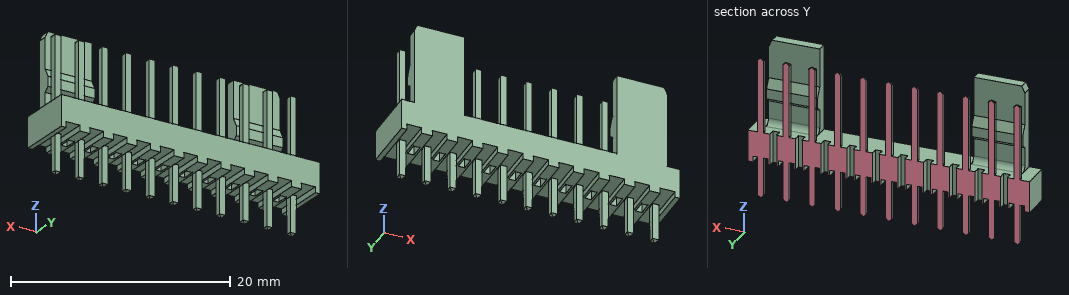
import cadquery as cq


LENGTH = 27.95
DEPTH = 5.8
OVERALL_HEIGHT = 15.25

PIN_COUNT = 11
PITCH = LENGTH / PIN_COUNT
PIN_WIDTH = 0.65
PIN_POINT = 0.28
PIN_BELOW_BASE = 3.52
PIN_ABOVE_BASE = 7.55

BASE_HEIGHT = 3.19
GROOVE_WIDTH = 1.48
GROOVE_DEPTH = 0.6
WINDOW_WIDTH = 0.65
WINDOW_DEPTH = 1.3

WALL_WIDTH = 2 * PITCH
WALL_THICKNESS = 1.03
WALL_HEIGHT = OVERALL_HEIGHT - PIN_BELOW_BASE - BASE_HEIGHT
ROOT_RADIUS = 0.6
CORNER_CUT_WIDTH = 0.3
CORNER_CUT_HEIGHT = 0.67

RIDGE_DEPTH = 0.5
RIDGE_START = 2.35
RIDGE_CREST_START = 2.77
RIDGE_CREST_END = 3.77
RIDGE_END = 4.7

pin_positions = [((i - (PIN_COUNT - 1) / 2) * PITCH, 0) for i in range(PIN_COUNT)]
window_positions = [(x + PITCH / 2, y) for x, y in pin_positions[:-1]]


def make_base():
    block = cq.Workplane("XY").box(LENGTH, DEPTH, BASE_HEIGHT, centered=(True, True, False))
    grooves = (
        cq.Workplane("XY")
        .pushPoints(pin_positions)
        .rect(GROOVE_WIDTH, DEPTH)
        .extrude(GROOVE_DEPTH)
    )
    windows = (
        cq.Workplane("XY")
        .pushPoints(window_positions)
        .rect(WINDOW_WIDTH, WINDOW_DEPTH)
        .extrude(BASE_HEIGHT)
    )
    return block.cut(grooves).cut(windows)


def make_pin():
    """Square pin with a four-sided point at both ends, from two crossed pointed bars."""
    half = PIN_WIDTH / 2
    bottom = -PIN_BELOW_BASE
    top = BASE_HEIGHT + PIN_ABOVE_BASE
    outline = [
        (0, bottom),
        (half, bottom + PIN_POINT),
        (half, top - PIN_POINT),
        (0, top),
        (-half, top - PIN_POINT),
        (-half, bottom + PIN_POINT),
    ]
    along_y = cq.Workplane("XZ").polyline(outline).close().extrude(half, both=True)
    along_x = cq.Workplane("YZ").polyline(outline).close().extrude(half, both=True)
    return along_y.intersect(along_x)


def make_left_wall():
    """Wall at the -X end: a YZ profile extruded along X, its outer top corner cut off."""
    left = pin_positions[0][0]
    outer = -DEPTH / 2
    inner = outer + WALL_THICKNESS
    crest = inner + RIDGE_DEPTH
    bottom = BASE_HEIGHT
    top = bottom + WALL_HEIGHT
    wall = (
        cq.Workplane("YZ", origin=(left, 0, 0))
        .moveTo(outer, bottom)
        .lineTo(inner + ROOT_RADIUS, bottom)
        .radiusArc((inner, bottom + ROOT_RADIUS), ROOT_RADIUS)
        .lineTo(inner, bottom + RIDGE_START)
        .lineTo(crest, bottom + RIDGE_CREST_START)
        .lineTo(crest, bottom + RIDGE_CREST_END)
        .lineTo(inner, bottom + RIDGE_END)
        .lineTo(inner, top)
        .lineTo(outer, top)
        .close()
        .extrude(WALL_WIDTH)
    )
    corner = (
        cq.Workplane("XZ")
        .polyline([(left, top), (left + CORNER_CUT_WIDTH, top), (left, top - CORNER_CUT_HEIGHT)])
        .close()
        .extrude(DEPTH, both=True)
    )
    return wall.cut(corner)


left_wall = make_left_wall()
result = make_base().union(left_wall).union(left_wall.mirror("YZ"))

pin = make_pin()
for x, y in pin_positions:
    result = result.union(pin.translate((x, y, 0)))